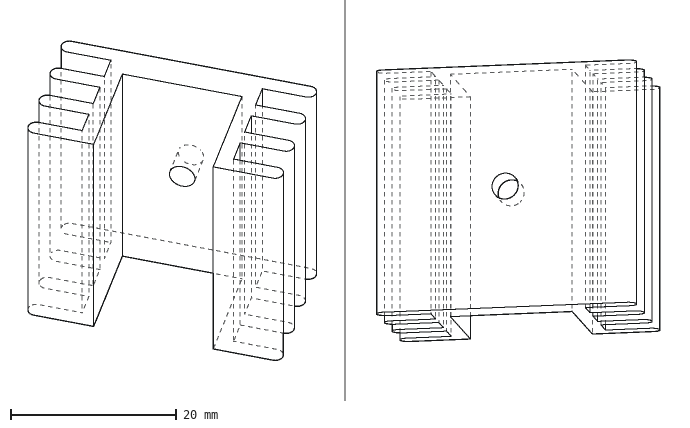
import cadquery as cq

overall_width = 32.0
length = 30.0
channel_width = 15.0
wall_thickness = 2.0
base_thickness = 4.0
fin_thickness = 2.0
fin_pitch = 5.0
fin_count = 4
tip_radius = 0.999
hole_diameter = 3.2

depth = (fin_count - 1) * fin_pitch + fin_thickness
body_width = channel_width + 2 * wall_thickness
channel_depth = depth - base_thickness


def block(width, y_start, y_size):
    """Full-length block centred on X, starting at y_start."""
    return cq.Workplane("XY").box(width, y_size, length, centered=(True, False, False)).translate(
        (0, y_start, 0)
    )


def fin_pair(y_start):
    """Bar reaching both sides of the body, with rounded tips along its length."""
    return block(overall_width, y_start, fin_thickness).edges("|Z").fillet(tip_radius)


def make_body():
    """Finned body with its central channel open at the front (-Y)."""
    body = block(body_width, 0, depth)
    for index in range(fin_count):
        body = body.union(fin_pair(index * fin_pitch))
    return body.cut(block(channel_width, 0, channel_depth))


def mounting_hole():
    """Round hole through the base plate along Y, centred on the plate."""
    return (
        cq.Workplane("XZ", origin=(0, depth, length / 2))
        .circle(hole_diameter / 2)
        .extrude(base_thickness)
    )


result = make_body().cut(mounting_hole())